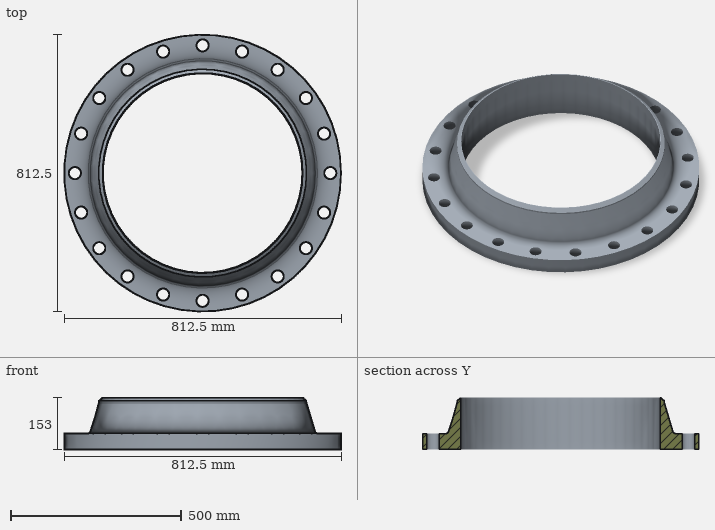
import cadquery as cq

flange_diameter = 812.5
flange_thickness = 48.0
bore_diameter = 584.0

overall_height = 153.0
hub_base_diameter = 663.0
neck_diameter = 609.5
neck_height = 5.0
bevel_height = 10.0
land_width = 2.0
root_fillet_radius = 6.5

bolt_count = 20
bolt_circle_diameter = 749.0
bolt_hole_diameter = 35.0


def make_body():
    """Revolve the half section of the flange and hub about Z."""
    flange_radius = flange_diameter / 2
    bore_radius = bore_diameter / 2
    hub_base_radius = hub_base_diameter / 2
    neck_radius = neck_diameter / 2
    neck_top = overall_height - bevel_height
    section = [
        (bore_radius, 0),
        (flange_radius, 0),
        (flange_radius, flange_thickness),
        (hub_base_radius, flange_thickness),
        (neck_radius, neck_top - neck_height),
        (neck_radius, neck_top),
        (bore_radius + land_width, overall_height),
        (bore_radius, overall_height),
    ]
    return cq.Workplane("XZ").polyline(section).close().revolve(360, (0, 0, 0), (0, 1, 0))


def round_hub_root(body):
    """Fillet the inner edge of the flange face, where the hub rises from it."""
    plane_faces = body.faces("|Z").sort(lambda face: face.Center().z)
    flange_face = plane_faces.item(1).val()
    hub_root = flange_face.innerWires()[0]
    return body.newObject(hub_root.Edges()).fillet(root_fillet_radius)


def drill_bolt_holes(body):
    """Cut the ring of through holes, the first one on the +X axis."""
    holes = (
        cq.Workplane("XY")
        .polarArray(bolt_circle_diameter / 2, 0, 360, bolt_count)
        .circle(bolt_hole_diameter / 2)
        .extrude(flange_thickness)
    )
    return body.cut(holes)


result = drill_bolt_holes(round_hub_root(make_body())).solids()